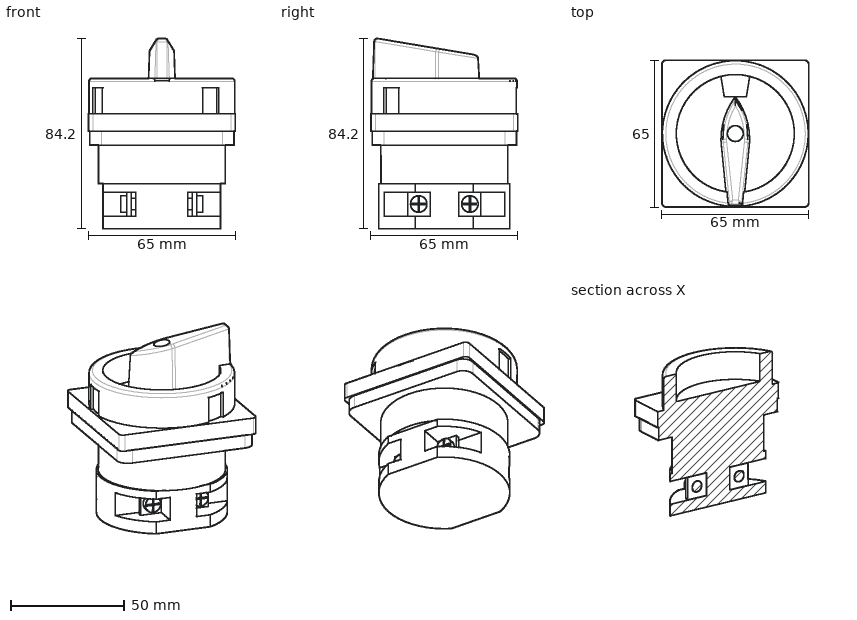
import cadquery as cq
import math

BODY_TOP_Z = 20.0
NECK_TOP_Z = 37.0
GASKET_TOP_Z = 43.2
PLATE_TOP_Z = 50.8
RING_TOP_Z = 66.54
DIAL_FLOOR_Z = 53.5

BODY_RADIUS = 29.0
BODY_FLAT_WIDTH = 52.0

POCKET_INNER_X = 11.5
POCKET_INNER_Y = 6.3
POCKET_BOTTOM_Z = 5.65
POCKET_HEIGHT = 10.6

SHANK_DIAMETER = 5.2
SHANK_LENGTH = 2.0
CLAMP_THICKNESS = 1.9
CLAMP_WIDTH = 9.8
HEAD_DIAMETER = 7.3
HEAD_HEIGHT = 2.75
SCREW_Y = 11.3
CROSS_LENGTH = 5.8
CROSS_WIDTH = 0.6
CROSS_DEPTH = 1.0

NECK_RADIUS = 28.12
GASKET_SIDE = 63.9
GASKET_CORNER_RADIUS = 5.2
PLATE_SIDE = 65.0
PLATE_CORNER_RADIUS = 2.0

RING_RADIUS = 32.25
RING_BORE_RADIUS = 26.1
RING_EDGE_RADIUS = 1.4

PAD_WIDTH = 6.4
PAD_DEPTH = 3.0
PAD_BEVEL_HEIGHT = 1.15
PAD_BEVEL_INSET = 0.55

NOTCH_ANGLES = (90.0, 207.0, 312.7)
NOTCH_SPAN = 17.0
NOTCH_DEPTH = 1.2
NOTCH_TOP_Z = 62.4

WINDOW_INNER_Y = 16.3
WINDOW_INNER_HALF_WIDTH = 4.9
WINDOW_OUTER_HALF_WIDTH = 6.5

HANDLE_TIP_Y = 16.25
HANDLE_WIDEST_Y = -2.6
HANDLE_HALF_WIDTH = 6.35
HANDLE_END_Y = -32.1
HANDLE_FLANK_ANGLE = 5.6
HANDLE_DRAFT = 2.0
HANDLE_TOP_SLOPE = 9.5
HANDLE_TOP_Z_AT_AXIS = 79.23
HANDLE_BLANK_HEIGHT = 34.0
HANDLE_FLANK_RADIUS = 15.0
HANDLE_END_RADIUS = 1.5
HANDLE_TOP_RADIUS = 1.5
HANDLE_HOLE_DIAMETER = 7.0
HANDLE_HOLE_DEPTH = 10.0


def disc(radius, bottom, top):
    return cq.Workplane("XY").workplane(offset=bottom).circle(radius).extrude(top - bottom)


def square_plate(side, corner_radius, bottom, top):
    plate = cq.Workplane("XY").workplane(offset=bottom).rect(side, side).extrude(top - bottom)
    return plate.edges("|Z").fillet(corner_radius)


def terminal_pocket():
    """Pocket in the +X +Y corner, open to the flat and to the round side."""
    return cq.Workplane("XY").box(
        BODY_RADIUS, BODY_RADIUS, POCKET_HEIGHT, centered=False
    ).translate((POCKET_INNER_X, POCKET_INNER_Y, POCKET_BOTTOM_Z))


def terminal():
    """Shank, clamping plate and cross-slotted head standing on the pocket's inner wall."""
    screw_z = POCKET_BOTTOM_Z + POCKET_HEIGHT / 2
    clamp_x = POCKET_INNER_X + SHANK_LENGTH
    head_x = clamp_x + CLAMP_THICKNESS
    head_end_x = head_x + HEAD_HEIGHT

    def across_x(start_x):
        return cq.Workplane("YZ", origin=(start_x, SCREW_Y, screw_z))

    shank = across_x(POCKET_INNER_X).circle(SHANK_DIAMETER / 2).extrude(SHANK_LENGTH)
    clamp = cq.Workplane("XY").box(
        CLAMP_THICKNESS, CLAMP_WIDTH, POCKET_HEIGHT, centered=False
    ).translate((clamp_x, POCKET_INNER_Y, POCKET_BOTTOM_Z))
    head = across_x(head_x).circle(HEAD_DIAMETER / 2).extrude(HEAD_HEIGHT)
    for length, width in ((CROSS_LENGTH, CROSS_WIDTH), (CROSS_WIDTH, CROSS_LENGTH)):
        head = head.cut(across_x(head_end_x).rect(length, width).extrude(-CROSS_DEPTH))
    return shank.union(clamp).union(head)


def in_four_corners(shape):
    """The shape in the +X +Y corner followed by its three mirror images."""
    pair = [shape, shape.mirror("YZ")]
    return pair + [item.mirror("XZ") for item in pair]


def contact_body():
    body = disc(BODY_RADIUS, 0, BODY_TOP_Z)
    body = body.intersect(
        cq.Workplane("XY").rect(BODY_FLAT_WIDTH, 2 * BODY_RADIUS).extrude(BODY_TOP_Z)
    )
    for pocket in in_four_corners(terminal_pocket()):
        body = body.cut(pocket)
    for screw in in_four_corners(terminal()):
        body = body.union(screw)
    return body


def ring_notch(angle):
    """Sector of the ring's outer skin, centred on the given angle."""
    reach = 2 * RING_RADIUS
    half_span = math.radians(NOTCH_SPAN / 2)
    far_x = reach * math.cos(half_span)
    far_y = reach * math.sin(half_span)
    wedge = (
        cq.Workplane("XY")
        .workplane(offset=PLATE_TOP_Z)
        .polyline([(0, 0), (far_x, -far_y), (far_x, far_y)])
        .close()
        .extrude(NOTCH_TOP_Z - PLATE_TOP_Z)
    )
    core = disc(RING_RADIUS - NOTCH_DEPTH, PLATE_TOP_Z, NOTCH_TOP_Z)
    return wedge.cut(core).rotate((0, 0, 0), (0, 0, 1), angle)


def indicator_window():
    """Tapered recess that runs out to the wall of the ring bore."""
    recess = (
        cq.Workplane("XY")
        .workplane(offset=PLATE_TOP_Z)
        .moveTo(-WINDOW_INNER_HALF_WIDTH, WINDOW_INNER_Y)
        .lineTo(WINDOW_INNER_HALF_WIDTH, WINDOW_INNER_Y)
        .lineTo(WINDOW_OUTER_HALF_WIDTH, RING_BORE_RADIUS)
        .lineTo(-WINDOW_OUTER_HALF_WIDTH, RING_BORE_RADIUS)
        .close()
        .extrude(DIAL_FLOOR_Z - PLATE_TOP_Z)
    )
    return recess.intersect(disc(RING_BORE_RADIUS, PLATE_TOP_Z, DIAL_FLOOR_Z))


def rim_pad():
    """Bevelled piece of the rim, fuller than the rounded edge, at the -Y side."""
    bevel_start_z = RING_TOP_Z - PAD_BEVEL_HEIGHT
    rim = (
        cq.Workplane("XZ")
        .moveTo(0, NOTCH_TOP_Z)
        .lineTo(RING_RADIUS, NOTCH_TOP_Z)
        .lineTo(RING_RADIUS, bevel_start_z)
        .lineTo(RING_RADIUS - PAD_BEVEL_INSET, RING_TOP_Z)
        .lineTo(0, RING_TOP_Z)
        .close()
        .revolve(360, (0, 0), (0, 1))
    )
    slice_box = cq.Workplane("XY").box(PAD_WIDTH, PAD_DEPTH, RING_TOP_Z, centered=(True, False, False))
    return slice_box.translate((0, -RING_RADIUS, 0)).intersect(rim)


def dial_ring():
    ring = disc(RING_RADIUS, PLATE_TOP_Z, RING_TOP_Z)
    ring = ring.faces(">Z").edges().fillet(RING_EDGE_RADIUS)
    ring = ring.union(rim_pad())
    ring = ring.cut(disc(RING_BORE_RADIUS, DIAL_FLOOR_Z, RING_TOP_Z))
    ring = ring.cut(indicator_window())
    for angle in NOTCH_ANGLES:
        ring = ring.cut(ring_notch(angle))
    return ring


def handle_blank():
    """Drafted prism: a pointed nose of two arcs and two straight flanks to a flat end."""
    nose_length = HANDLE_TIP_Y - HANDLE_WIDEST_Y
    nose_radius = (nose_length**2 + HANDLE_HALF_WIDTH**2) / (2 * HANDLE_HALF_WIDTH)
    nose_mid_angle = math.asin(nose_length / nose_radius) / 2
    flank_angle = math.radians(HANDLE_FLANK_ANGLE)

    def arc_point(radius, angle):
        """Point on an arc that is tangent to Y at the widest place of the handle."""
        x = HANDLE_HALF_WIDTH - radius * (1 - math.cos(angle))
        return x, HANDLE_WIDEST_Y + radius * math.sin(angle)

    widest = (HANDLE_HALF_WIDTH, HANDLE_WIDEST_Y)
    nose_mid = arc_point(nose_radius, nose_mid_angle)
    blend_mid = arc_point(HANDLE_FLANK_RADIUS, -flank_angle / 2)
    flank_start = arc_point(HANDLE_FLANK_RADIUS, -flank_angle)
    flank_length_y = flank_start[1] - HANDLE_END_Y
    flank_end = (flank_start[0] - flank_length_y * math.tan(flank_angle), HANDLE_END_Y)

    def opposite(point):
        return -point[0], point[1]

    tip = (0, HANDLE_TIP_Y)
    outline = (
        cq.Sketch()
        .arc(tip, opposite(nose_mid), opposite(widest))
        .arc(opposite(widest), opposite(blend_mid), opposite(flank_start))
        .segment(opposite(flank_start), opposite(flank_end))
        .segment(opposite(flank_end), flank_end)
        .segment(flank_end, flank_start)
        .arc(flank_start, blend_mid, widest)
        .arc(widest, nose_mid, tip)
        .assemble()
        .vertices("<Y")
        .fillet(HANDLE_END_RADIUS)
    )
    return (
        cq.Workplane("XY", origin=(0, 0, DIAL_FLOOR_Z))
        .placeSketch(outline)
        .extrude(HANDLE_BLANK_HEIGHT, taper=HANDLE_DRAFT)
    )


def handle():
    grip = handle_blank()
    above_top = (
        cq.Workplane("XY")
        .box(2 * PLATE_SIDE, 2 * PLATE_SIDE, PLATE_SIDE, centered=(True, True, False))
        .rotate((0, 0, 0), (1, 0, 0), -HANDLE_TOP_SLOPE)
        .translate((0, 0, HANDLE_TOP_Z_AT_AXIS))
    )
    grip = grip.cut(above_top)
    grip = grip.faces(">Z").edges().fillet(HANDLE_TOP_RADIUS)
    hole = disc(
        HANDLE_HOLE_DIAMETER / 2,
        HANDLE_TOP_Z_AT_AXIS - HANDLE_HOLE_DEPTH,
        HANDLE_TOP_Z_AT_AXIS + HANDLE_HOLE_DEPTH,
    )
    return grip.cut(hole)


result = (
    contact_body()
    .union(disc(NECK_RADIUS, BODY_TOP_Z, NECK_TOP_Z))
    .union(square_plate(GASKET_SIDE, GASKET_CORNER_RADIUS, NECK_TOP_Z, GASKET_TOP_Z))
    .union(square_plate(PLATE_SIDE, PLATE_CORNER_RADIUS, GASKET_TOP_Z, PLATE_TOP_Z))
    .union(dial_ring())
    .union(handle())
)